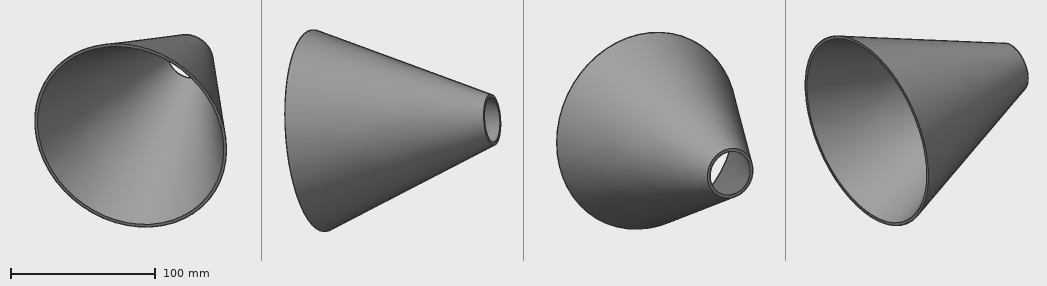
import cadquery as cq

length = 127.0
large_radius = 69.8
small_radius = 17.6
radial_wall = 2.1

wall_section = [
    (large_radius - radial_wall, 0),
    (large_radius, 0),
    (small_radius, length),
    (small_radius - radial_wall, length),
]

result = (
    cq.Workplane("XY")
    .polyline(wall_section)
    .close()
    .revolve(360, (0, 0), (0, 1))
)